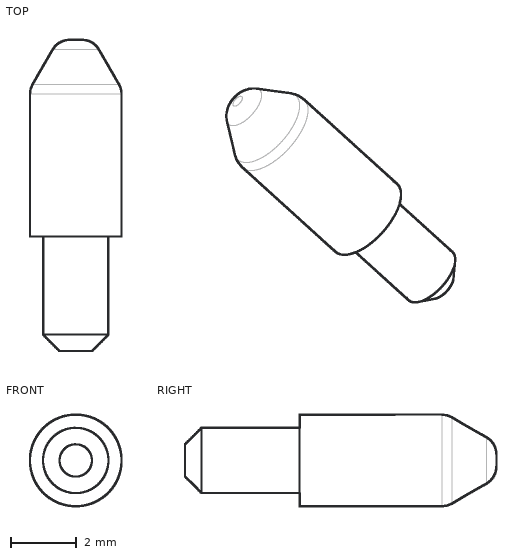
import cadquery as cq
import math

total_length = 9.5
body_diameter = 2.8
stem_diameter = 1.995
stem_length = 3.5
stem_chamfer = 0.5
nose_length = 1.5
nose_half_angle = 30.0
nose_rounding = 0.6

body_radius = body_diameter / 2
stem_radius = stem_diameter / 2
stem_end = -total_length / 2
nose_tip = total_length / 2
shoulder = stem_end + stem_length
nose_base = nose_tip - nose_length
tip_radius = body_radius - nose_length * math.tan(math.radians(nose_half_angle))


def make_stem():
    """Cylindrical stem with a chamfered free end."""
    stem = cq.Workplane("XZ", origin=(0, shoulder, 0)).circle(stem_radius).extrude(stem_length)
    return stem.faces("<Y").chamfer(stem_chamfer)


def make_body():
    """Cylinder and conical nose, with both cone edges rounded."""
    profile = (
        cq.Workplane("XY")
        .moveTo(0, shoulder)
        .lineTo(body_radius, shoulder)
        .lineTo(body_radius, nose_base)
        .lineTo(tip_radius, nose_tip)
        .lineTo(0, nose_tip)
        .close()
    )
    body = profile.revolve(360, (0, 0, 0), (0, 1, 0))
    cone_edges = body.faces("%CONE").edges("%CIRCLE")
    return cone_edges.fillet(nose_rounding)


result = make_body().union(make_stem())